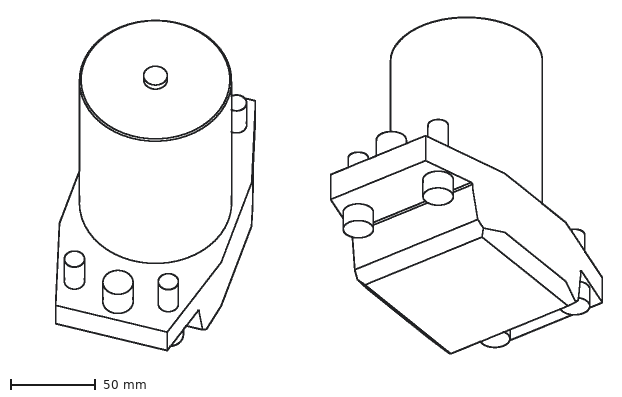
import cadquery as cq

base_width = 100.0
base_length = 180.0
end_width = 69.0
straight_length = 62.0
base_height = 50.0
plate_thickness = 18.0
plate_underside = base_height - plate_thickness

block_top_half = 55.0
block_low_half = 51.2
bevel = 7.5
root_chamfer = 1.0
root_step_height = 3.5

body_diameter = 90.0
body_top = 170.0
body_chamfer = 1.0
stub_diameter = 14.0
overall_height = 174.0

dowel_diameter = 18.0
dowel_projection = 18.5
dowel_offset = 76.5

bolt_diameter = 12.0
bolt_tip_diameter = 11.79
bolt_projection = 21.5
bolt_x = 29.0
bolt_y = 69.5
head_diameter = 18.0
head_height = 12.0

end_taper_angle = 5.0
dowel_taper_length = 1.0
head_taper_length = 0.5


def make_outline_prism():
    """Full-height prism of the plate outline as seen along Z."""
    half_width = base_width / 2
    half_length = base_length / 2
    half_end = end_width / 2
    half_straight = straight_length / 2
    outline = [
        (-half_end, -half_length),
        (half_end, -half_length),
        (half_width, -half_straight),
        (half_width, half_straight),
        (half_end, half_length),
        (-half_end, half_length),
        (-half_width, half_straight),
        (-half_width, -half_straight),
    ]
    return cq.Workplane("XY").polyline(outline).close().extrude(base_height)


def make_length_profile():
    """Plate and block section in the YZ plane, extruded across the width."""
    half_length = base_length / 2
    bottom_half = block_low_half - bevel
    slope_top = plate_underside - root_step_height
    right_side = [
        (bottom_half, 0),
        (block_low_half, bevel),
        (block_top_half, slope_top),
        (block_top_half, plate_underside - root_chamfer),
        (block_top_half + root_chamfer, plate_underside),
        (half_length, plate_underside),
        (half_length, base_height),
    ]
    left_side = [(-y, z) for y, z in reversed(right_side)]
    profile = right_side + left_side
    return cq.Workplane("YZ").polyline(profile).close().extrude(base_width / 2, both=True)


def make_width_profile():
    """Section in the XZ plane with the two lower long edges bevelled."""
    section = cq.Workplane("XY").box(base_width, base_length, base_height, centered=(True, True, False))
    return section.edges("|Y and <Z").chamfer(bevel)


def make_base():
    return make_outline_prism().intersect(make_length_profile()).intersect(make_width_profile())


def make_cylinder(x, y, bottom, top, diameter):
    height = top - bottom
    return cq.Workplane("XY", origin=(x, y, bottom)).circle(diameter / 2).extrude(height)


def make_tapered_end(end_face, diameter, length):
    """Cone frustum growing outward from a cylinder's end face."""
    sketch = end_face.workplane(centerOption="CenterOfMass").circle(diameter / 2)
    return sketch.extrude(length, combine=False, taper=end_taper_angle)


def make_body():
    body = make_cylinder(0, 0, base_height, body_top, body_diameter).faces(">Z").chamfer(body_chamfer)
    stub = make_cylinder(0, 0, body_top, overall_height, stub_diameter)
    return body.union(stub)


def make_dowel(y):
    top = base_height + dowel_projection
    taper_start = top - dowel_taper_length
    straight = make_cylinder(0, y, plate_underside, taper_start, dowel_diameter)
    return straight.union(make_tapered_end(straight.faces(">Z"), dowel_diameter, dowel_taper_length))


def make_bolt(x, y):
    shank_top = base_height + bolt_projection
    shank = make_cylinder(x, y, plate_underside, shank_top, bolt_diameter)
    shank = shank.faces(">Z").chamfer((bolt_diameter - bolt_tip_diameter) / 2)
    head_bottom = plate_underside - head_height
    taper_start = head_bottom + head_taper_length
    head = make_cylinder(x, y, taper_start, plate_underside, head_diameter)
    head = head.union(make_tapered_end(head.faces("<Z"), head_diameter, head_taper_length))
    return shank.union(head)


result = make_base().union(make_body())
for side_y in (-1, 1):
    result = result.union(make_dowel(side_y * dowel_offset))
    for side_x in (-1, 1):
        result = result.union(make_bolt(side_x * bolt_x, side_y * bolt_y))